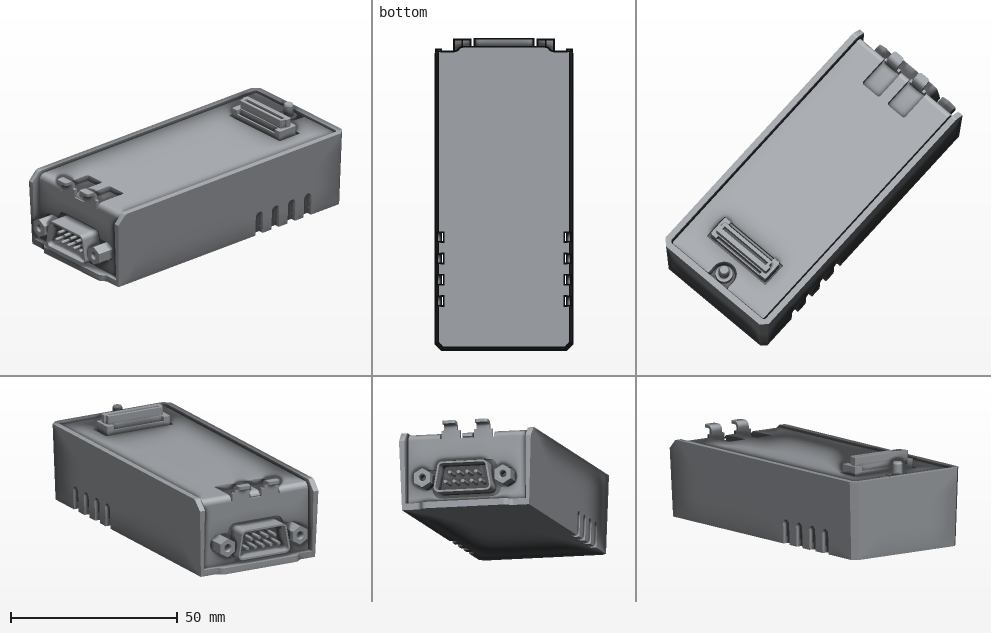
import cadquery as cq
import math


length = 93.45
housing_width = 41.2
housing_height = 23.9
housing_front = 3.0
draft_angle = 2.0
rear_chamfer = 2.0
cavity_width = 37.6
rear_wall = 2.0
floor_thickness = 2.0
cavity_corner_radius = 0.9
front_chamfer = 3.1
front_chamfer_blend = 1.4

lip_front = 2.3
lip_half_width = 12.1
lip_bend_run = 3.1

slot_count = 4
slot_width = 2.9
slot_height = 7.6
slot_row_length = 19.2
slot_pitch = slot_row_length / (slot_count - 1)
first_slot_y = 78.7

box_width = 36.3
box_front = 5.3
box_back = 91.2
box_top = 23.3
sheet = 0.9
box_bend_radius = 1.9
box_corner_radius = 0.7
fold_trim = 0.6
fold_bottom = box_top - box_bend_radius

window_inner_x = 1.6
window_outer_x = 8.4
window_back = 16.0
window_corner_radius = 0.75
finger_inner_x = 2.15
finger_outer_x = 7.9
tab_width = 4.0
tab_top = 26.5
tab_front = 2.5
tab_bend_radius = 0.75
tab_corner_radius = 0.8

dsub_z = 9.0
dsub_flank_angle = 10.0
shell_mid_width = 16.7
shell_height = 9.25
shell_wall = 0.6
shell_corner_radius = 1.6
flange_mid_width = 20.1
flange_height = 11.3
flange_corner_radius = 2.5
flange_recess = 0.9
ear_x = 12.7
ear_radius = 3.0
relief_width = 14.95
relief_depth = 0.2
contact_diameter = 1.0
contact_pitch = 2.7
contact_tip = 0.6
contact_rows = ((4, 10.4), (5, 7.6))

nut_x = 12.5
nut_across_flats = 5.0
nut_front = 0.2
nut_hole_diameter = 2.1
nut_mouth_diameter = 2.5
nut_hole_depth = 3.7
nut_countersink_angle = 90.0
hex_half_angle = 30.0

pin_y = 88.3
pin_diameter = 3.0
pin_tip_diameter = 2.4
pin_top = 27.3
pin_tip_height = 0.6
collar_diameter = 5.0
collar_top = 23.4
notch_top_width = 7.7
notch_bottom_width = 6.5
notch_depth = 1.9
notch_mouth_radius = 0.5

opening_width = 23.4
opening_length = 8.1
opening_y = 78.8
base_width = 21.9
base_length = 6.7
base_y = 78.7
base_top = 25.9
base_corner_chamfer = 0.4
side_wall_width = 17.3
side_wall_top = 24.5
front_wall_thickness = 0.6
rear_wall_thickness = 0.3
side_wall_setback = 0.1
plug_ledge = 0.3
trough_depth = 0.9
plug_top = 28.4
plug_rear_width = 20.1
plug_front_width = 19.0
plug_rear_y = 80.7
plug_step_y = 78.8
plug_front_y = 77.1
plug_corner_chamfer = 0.4
contact_slot_length = 1.1
contact_slot_depth = 1.9


def block(x0, x1, y0, y1, z0, z1):
    """Box between two opposite corners."""
    return cq.Workplane("XY").box(x1 - x0, y1 - y0, z1 - z0, centered=False).translate((x0, y0, z0))


def front_plane(y):
    """Plane facing -Y whose local axes are X and Z."""
    return cq.Workplane("XZ", origin=(0, y, 0))


def mirrored(body):
    """The body together with its mirror image across X = 0."""
    return body.union(body.mirror("YZ"))


def make_lip():
    """Floor lip whose ends sweep back in S-shaped curves."""
    back = housing_front + housing_height * math.tan(math.radians(draft_angle))
    depth = back - lip_front
    half_run = lip_bend_run / 2
    outer = lip_half_width + lip_bend_run
    middle = (lip_half_width + half_run, lip_front + depth / 2)
    radius = (half_run**2 + (depth / 2) ** 2) / depth
    turn = math.asin(half_run / radius) / 2
    dx = radius * math.sin(turn)
    dy = radius * (1 - math.cos(turn))
    return (
        cq.Workplane("XY")
        .moveTo(-lip_half_width, lip_front)
        .lineTo(lip_half_width, lip_front)
        .threePointArc((lip_half_width + dx, lip_front + dy), middle)
        .threePointArc((outer - dx, back - dy), (outer, back))
        .lineTo(outer, back + rear_wall)
        .lineTo(-outer, back + rear_wall)
        .lineTo(-outer, back)
        .threePointArc((-outer + dx, back - dy), (-middle[0], middle[1]))
        .threePointArc((-lip_half_width - dx, lip_front + dy), (-lip_half_width, lip_front))
        .close()
        .extrude(floor_thickness)
    )


def make_slots():
    """Round-topped vents that cut through the side walls and the floor edges."""
    radius = slot_width / 2
    inner_x = box_width / 2
    slots = cq.Workplane("XY")
    for index in range(slot_count):
        y = first_slot_y - index * slot_pitch
        slots = slots.add(
            cq.Workplane("YZ", origin=(inner_x, 0, 0))
            .moveTo(y - radius, 0)
            .lineTo(y - radius, slot_height - radius)
            .threePointArc((y, slot_height), (y + radius, slot_height - radius))
            .lineTo(y + radius, 0)
            .close()
            .extrude(housing_width / 2 - inner_x)
        )
    return mirrored(slots.combine())


def make_housing():
    """Drafted tray, open at the top and the front."""
    half = housing_width / 2
    outer = (
        cq.Workplane("XY", origin=(0, 0, housing_height))
        .polyline([
            (-half, housing_front),
            (half, housing_front),
            (half, length - rear_chamfer),
            (half - rear_chamfer, length),
            (-half + rear_chamfer, length),
            (-half, length - rear_chamfer),
        ])
        .close()
        .extrude(-housing_height, taper=draft_angle)
    )
    cavity = block(
        -cavity_width / 2, cavity_width / 2, 0, length - rear_wall, floor_thickness, housing_height
    )
    cavity = cavity.edges("|Z and >Y").fillet(cavity_corner_radius)

    slope_start = housing_front + front_chamfer
    slope = (
        cq.Workplane("YZ", origin=(-half, 0, 0))
        .moveTo(housing_front, housing_height - front_chamfer)
        .lineTo(slope_start, housing_height)
        .lineTo(0, housing_height)
        .lineTo(0, housing_height - front_chamfer)
        .close()
        .extrude(housing_width)
    )
    tray = outer.cut(slope)
    tray = tray.edges(
        cq.selectors.BoxSelector(
            (-half, slope_start - sheet, housing_height - sheet),
            (half, slope_start + sheet, housing_height + sheet),
        )
    ).edges("|X").fillet(front_chamfer_blend)
    return tray.cut(cavity).union(make_lip()).cut(make_slots())


def make_tab():
    """Spring tab: a wide finger, then a narrow strip curling forward."""
    finger = block(
        finger_inner_x, finger_outer_x, box_front, box_front + sheet, fold_bottom, housing_height
    )
    bend_y = box_front - tab_bend_radius
    bend_z = tab_top - sheet - tab_bend_radius
    outer_radius = tab_bend_radius + sheet
    diagonal = math.sqrt(0.5)
    center_x = (finger_inner_x + finger_outer_x) / 2
    strip = (
        cq.Workplane("YZ", origin=(center_x - tab_width / 2, 0, 0))
        .moveTo(box_front, fold_bottom)
        .lineTo(box_front, bend_z)
        .threePointArc(
            (bend_y + diagonal * tab_bend_radius, bend_z + diagonal * tab_bend_radius),
            (bend_y, tab_top - sheet),
        )
        .lineTo(tab_front, tab_top - sheet)
        .lineTo(tab_front, tab_top)
        .lineTo(bend_y, tab_top)
        .threePointArc(
            (bend_y + diagonal * outer_radius, bend_z + diagonal * outer_radius),
            (box_front + sheet, bend_z),
        )
        .lineTo(box_front + sheet, fold_bottom)
        .close()
        .extrude(tab_width)
    )
    strip = strip.edges("|Z and <Y").fillet(tab_corner_radius)
    return finger.union(strip)


def make_notch():
    """U-shaped notch with flared walls, open to the rear."""

    def outline(workplane, width):
        radius = width / 2
        return (
            workplane.moveTo(-radius, box_back)
            .lineTo(-radius, pin_y)
            .threePointArc((0, pin_y - radius), (radius, pin_y))
            .lineTo(radius, box_back)
            .close()
        )

    lower = outline(cq.Workplane("XY", origin=(0, 0, box_top - notch_depth)), notch_bottom_width)
    return outline(lower.workplane(offset=notch_depth), notch_top_width).loft(ruled=True)


def make_box():
    """Folded box with two lid windows and a tab in each."""
    half = box_width / 2
    box = block(-half, half, box_front, box_back, floor_thickness, box_top)
    box = box.edges("|Z and >Y").fillet(box_corner_radius)
    box = box.edges("|X and >Z and <Y").fillet(box_bend_radius)

    window = block(window_inner_x, window_outer_x, box_front, window_back, fold_bottom, box_top)
    window = window.edges("|Z and >Y").fillet(window_corner_radius)
    trim = block(0, window_inner_x, box_front, box_front + sheet, fold_bottom, fold_bottom + fold_trim)
    opening = block(
        -opening_width / 2,
        opening_width / 2,
        opening_y - opening_length / 2,
        opening_y + opening_length / 2,
        box_top - sheet,
        box_top,
    )
    box = box.cut(mirrored(window.union(trim))).union(mirrored(make_tab()))
    box = box.cut(opening).cut(make_notch())
    mouth = cq.selectors.BoxSelector(
        (-notch_top_width, box_back - notch_mouth_radius, box_top - notch_depth),
        (notch_top_width, box_back + notch_mouth_radius, box_top - sheet / 2),
    )
    return box.edges(mouth).edges("not |X").fillet(notch_mouth_radius)


def d_prism(y, depth, mid_width, height, corner_radius):
    """Rounded D-sub trapezoid, wider at the bottom, running back from Y = y."""
    flare = height / 2 * math.tan(math.radians(dsub_flank_angle))
    half = mid_width / 2
    low = dsub_z - height / 2
    high = dsub_z + height / 2
    return (
        front_plane(y)
        .polyline([
            (-half - flare, low),
            (half + flare, low),
            (half - flare, high),
            (-half + flare, high),
        ])
        .close()
        .extrude(-depth)
        .edges("|Y")
        .fillet(corner_radius)
    )


def make_flange_recess():
    """Cut-out in the box front around the D-sub and its nuts."""
    body = d_prism(
        box_front, flange_recess, flange_mid_width, flange_height, flange_corner_radius
    )
    ears = (
        front_plane(box_front)
        .center(0, dsub_z)
        .slot2D(2 * (ear_x + ear_radius), 2 * ear_radius)
        .extrude(-flange_recess)
    )
    relief = block(
        -relief_width / 2,
        relief_width / 2,
        box_front,
        box_front + relief_depth,
        floor_thickness,
        dsub_z,
    )
    return body.union(ears).union(relief)


def make_dsub():
    """D-shaped shell with its contact pins."""
    depth = box_front + flange_recess
    bore_width = shell_mid_width - 2 * shell_wall
    bore_height = shell_height - 2 * shell_wall
    shell = d_prism(0, depth, shell_mid_width, shell_height, shell_corner_radius)
    shell = shell.cut(d_prism(0, depth, bore_width, bore_height, shell_corner_radius - shell_wall))
    contacts = cq.Workplane("XY")
    for count, z in contact_rows:
        points = [((i - (count - 1) / 2) * contact_pitch, z) for i in range(count)]
        contacts = contacts.add(
            front_plane(contact_tip)
            .pushPoints(points)
            .circle(contact_diameter / 2)
            .extrude(contact_tip - depth - sheet)
        )
    return shell.union(contacts.combine())


def make_nuts():
    """Hexagonal jack nuts, corner up, with chamfered threaded holes."""
    depth = box_front + flange_recess - nut_front
    across_corners = nut_across_flats / math.cos(math.radians(hex_half_angle))
    nut = (
        cq.Workplane("XY")
        .polygon(6, across_corners)
        .extrude(depth)
        .rotate((0, 0, 0), (0, 0, 1), hex_half_angle)
        .faces(">Z")
        .workplane()
        .cskHole(nut_hole_diameter, nut_mouth_diameter, nut_countersink_angle, nut_hole_depth)
        .rotate((0, 0, 0), (1, 0, 0), 90)
        .translate((nut_x, nut_front + depth, dsub_z))
    )
    return mirrored(nut)


def make_pin():
    """Guide pin with a chamfered tip, standing on a collar."""
    bottom = box_top - notch_depth
    collar = cq.Workplane("XY", origin=(0, pin_y, bottom)).circle(collar_diameter / 2)
    pin = cq.Workplane("XY", origin=(0, pin_y, bottom)).circle(pin_diameter / 2)
    tip_inset = (pin_diameter - pin_tip_diameter) / 2
    pin = pin.extrude(pin_top - bottom).faces(">Z").edges().chamfer(pin_tip_height, tip_inset)
    return pin.union(collar.extrude(collar_top - bottom))


def make_connector():
    """Board connector: base with lowered long sides, and a raised keyed plug."""
    bottom = box_top - sheet
    base_front = base_y - base_length / 2
    base_rear = base_y + base_length / 2
    base = block(-base_width / 2, base_width / 2, base_front, base_rear, bottom, base_top)
    base = base.edges("|Z").chamfer(base_corner_chamfer)

    side = side_wall_width / 2
    trough_bottom = side_wall_top - trough_depth
    wall_front = base_front + side_wall_setback
    wall_rear = base_rear - side_wall_setback
    core = block(-side, side, plug_front_y - plug_ledge, plug_rear_y + plug_ledge, bottom, base_top)
    walls = block(-side, side, wall_front, wall_rear, bottom, side_wall_top)
    trough = block(
        -side,
        side,
        wall_front + front_wall_thickness,
        wall_rear - rear_wall_thickness,
        trough_bottom,
        side_wall_top,
    )
    base = base.cut(block(-side, side, base_front, base_rear, bottom, base_top))
    base = base.union(walls.cut(trough)).union(core)

    rear = plug_rear_width / 2
    front = plug_front_width / 2
    plug = (
        block(-rear, rear, plug_step_y, plug_rear_y, bottom, plug_top)
        .edges("|Z and >Y")
        .chamfer(plug_corner_chamfer)
        .union(
            block(-front, front, plug_front_y, plug_step_y, bottom, plug_top)
            .edges("|Z and <Y")
            .chamfer(plug_corner_chamfer)
        )
    )
    contact_slot = block(
        -side,
        side,
        base_y - contact_slot_length / 2,
        base_y + contact_slot_length / 2,
        plug_top - contact_slot_depth,
        plug_top,
    )
    return base.union(plug.cut(contact_slot))


result = make_housing().union(make_box()).cut(make_flange_recess())
for fitting in (make_dsub(), make_nuts(), make_pin(), make_connector()):
    result = result.union(fitting)